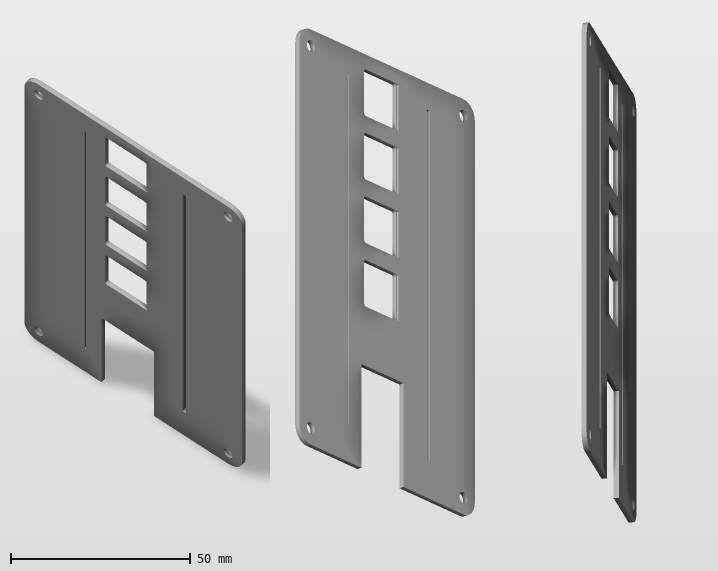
import cadquery as cq

plate_width = 77.1
plate_height = 124.8
plate_thickness = 1.5
corner_radius = 5.0

screw_hole_diameter = 3.4
screw_hole_inset = corner_radius

key_count = 4
key_pitch = 19.1
key_column_x = -2.9
top_key_z = 50.9
key_opening_width = 14.3
key_opening_height = 14.0
key_opening_radius = 0.6

key_ledge_width = 0.6
key_ledge_height = 13.7
key_ledge_depth = 0.4

slit_height = 105.3
slit_centre_z = 1.6
left_slit_x = -17.0
left_slit_width = 0.5
right_slit_x = 18.1
right_slit_width = 1.2

notch_width = 18.5
notch_height = 31.2
notch_centre_x = -2.0
notch_centre_z = (notch_height - plate_height) / 2


def full_thickness_box(width, height, x, z):
    """Block as thick as the plate, centred at (x, z)."""
    return cq.Workplane("XY").box(width, plate_thickness, height).translate((x, 0, z))


def plate():
    blank = full_thickness_box(plate_width, plate_height, 0, 0)
    return blank.edges("|Y").fillet(corner_radius)


def screw_holes():
    spacing_x = plate_width - 2 * screw_hole_inset
    spacing_z = plate_height - 2 * screw_hole_inset
    return (
        cq.Workplane("XZ")
        .rect(spacing_x, spacing_z, forConstruction=True)
        .vertices()
        .circle(screw_hole_diameter / 2)
        .extrude(plate_thickness / 2, both=True)
    )


def key_opening(z):
    opening = full_thickness_box(key_opening_width, key_opening_height, key_column_x, z)
    return opening.edges("|Y").fillet(key_opening_radius)


def key_ledge(z):
    """Step cut into the front (-Y) face, reaching past the opening's rounded corners."""
    opening_right = key_column_x + key_opening_width / 2
    width = key_opening_radius + key_ledge_width
    centre_x = opening_right + key_ledge_width - width / 2
    step = full_thickness_box(width, key_ledge_height, centre_x, z)
    return step.translate((0, key_ledge_depth - plate_thickness, 0))


result = plate().cut(screw_holes())

for key in range(key_count):
    key_z = top_key_z - key * key_pitch
    result = result.cut(key_opening(key_z))
    result = result.cut(key_ledge(key_z))

for slit_x, slit_width in ((left_slit_x, left_slit_width), (right_slit_x, right_slit_width)):
    result = result.cut(full_thickness_box(slit_width, slit_height, slit_x, slit_centre_z))

result = result.cut(full_thickness_box(notch_width, notch_height, notch_centre_x, notch_centre_z))